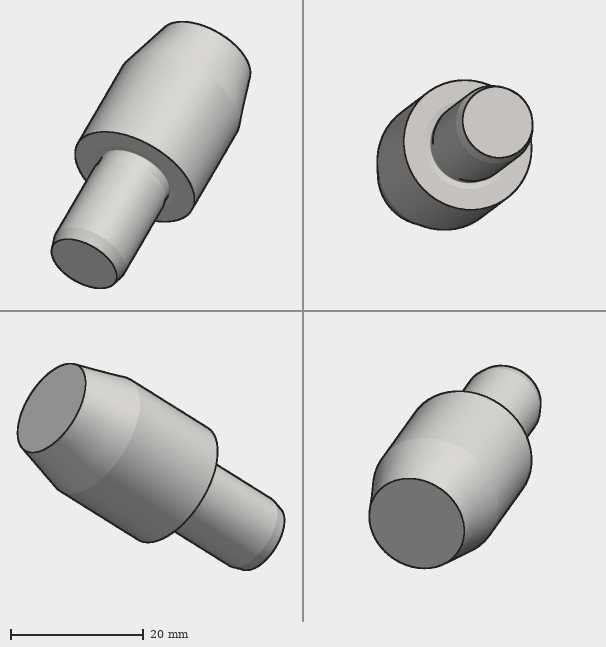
import cadquery as cq
import math

total_length = 43.0
head_diameter = 20.0
shank_diameter = 12.0
neck_diameter = 11.6
shank_length = 17.97
head_taper_length = 9.0
tip_length = 1.98
taper_angle = math.radians(15)

relief_width = 2.1
relief_depth = 0.125
relief_corner_radius = 0.108
relief_face_angle = math.radians(8)

head_radius = head_diameter / 2
shank_radius = shank_diameter / 2
neck_radius = neck_diameter / 2
head_length = total_length - shank_length
head_end_radius = head_radius - head_taper_length * math.tan(taper_angle)
tip_radius = shank_radius - tip_length * math.tan(taper_angle)
ramp_length = (shank_radius - neck_radius) / math.tan(taper_angle)

corner_x = neck_radius + relief_corner_radius
corner_y = relief_depth - relief_corner_radius


def corner_point(angle):
    """Point on the relief corner arc, angle measured from the +X direction."""
    return (
        corner_x + relief_corner_radius * math.cos(angle),
        corner_y + relief_corner_radius * math.sin(angle),
    )


arc_end_angle = math.pi / 2 - relief_face_angle
arc_middle_angle = (math.pi + arc_end_angle) / 2
arc_end = corner_point(arc_end_angle)
relief_outer_radius = arc_end[0] + arc_end[1] / math.tan(relief_face_angle)

profile = (
    cq.Workplane("XY")
    .moveTo(0, -shank_length)
    .lineTo(tip_radius, -shank_length)
    .lineTo(shank_radius, -shank_length + tip_length)
    .lineTo(shank_radius, -relief_width)
    .lineTo(neck_radius, -relief_width + ramp_length)
    .lineTo(neck_radius, corner_y)
    .threePointArc(corner_point(arc_middle_angle), arc_end)
    .lineTo(relief_outer_radius, 0)
    .lineTo(head_radius, 0)
    .lineTo(head_radius, head_length - head_taper_length)
    .lineTo(head_end_radius, head_length)
    .lineTo(0, head_length)
    .close()
)

result = profile.revolve(360, (0, 0, 0), (0, 1, 0))